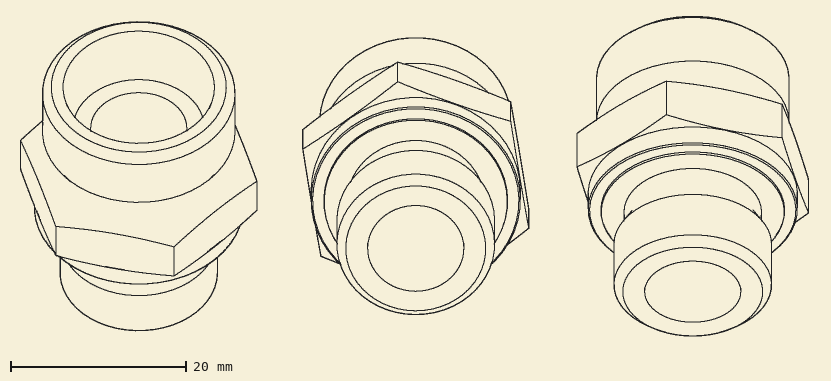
import cadquery as cq
import math

total_height = 32.5
collar_bottom = 12.02
hex_bottom = 14.53
hex_top = 20.5

hex_across_flats = 24.02
hex_corner_radius = hex_across_flats / math.sqrt(3)
hex_chamfer_angle = math.radians(15)
collar_radius = 23.9 / 2
collar_chamfer = 0.15

end_chamfer = 1.0
lower_end_radius = 18.0 / 2
lower_neck_radius = 15.7 / 2
lower_shoulder = 7.0
upper_end_radius = 22.0 / 2
upper_neck_radius = 19.7 / 2
upper_shoulder = 25.05
relief_angle = math.radians(30)
relief_blend_radius = 1.0
hex_root_radius = 1.0

through_radius = 11.0 / 2
socket_radius = 15.0 / 2
socket_depth = 7.0
cone_depth = 5.35
cone_half_angle = math.radians(12)
mouth_radius = socket_radius + cone_depth * math.tan(cone_half_angle)

ring_outer_radius = 20.9 / 2
recess_outer_radius = 21.0 / 2
recess_depth = 1.5
ring_protrusion = 0.25


def revolve_profile(profile):
    """Turn a closed outline in the XZ plane (radius, height) about the Z axis."""
    return profile.close().revolve(360, (0, 0, 0), (0, 1, 0))


def cylinder(radius, bottom, top):
    return cq.Workplane("XY").workplane(offset=bottom).circle(radius).extrude(top - bottom)


def threaded_end(end_radius, neck_radius, chamfer, shoulder, neck_end):
    """Chamfered stub starting at Z = 0, with a conical relief blended into its neck."""
    relief_corner = shoulder + (end_radius - neck_radius) / math.tan(relief_angle)
    tangent = relief_blend_radius * math.tan(relief_angle / 2)
    cone_tangent_radius = neck_radius + tangent * math.sin(relief_angle)
    cone_tangent_height = relief_corner - tangent * math.cos(relief_angle)
    profile = (
        cq.Workplane("XZ")
        .lineTo(end_radius - chamfer, 0)
        .lineTo(end_radius, chamfer)
        .lineTo(end_radius, shoulder)
        .lineTo(cone_tangent_radius, cone_tangent_height)
        .radiusArc((neck_radius, relief_corner + tangent), relief_blend_radius)
        .lineTo(neck_radius, neck_end)
        .lineTo(0, neck_end)
    )
    return revolve_profile(profile)


def make_lower_end():
    return threaded_end(lower_end_radius, lower_neck_radius, end_chamfer, lower_shoulder, hex_bottom)


def make_upper_end():
    """Upper stub, shaped from its free end and then turned to point upwards."""
    end = threaded_end(
        upper_end_radius,
        upper_neck_radius,
        end_chamfer,
        total_height - upper_shoulder,
        total_height - hex_top,
    )
    return end.rotate((0, 0, 0), (1, 0, 0), 180).translate((0, 0, total_height))


def make_hex_root():
    """Concave fillet where the upper neck meets the top of the hexagon."""
    profile = (
        cq.Workplane("XZ")
        .moveTo(0, hex_top)
        .lineTo(upper_neck_radius + hex_root_radius, hex_top)
        .radiusArc((upper_neck_radius, hex_top + hex_root_radius), hex_root_radius)
        .lineTo(0, hex_top + hex_root_radius)
    )
    return revolve_profile(profile)


def make_hexagon():
    """Hexagon with flats facing -X and +X, its corners chamfered at both faces."""
    prism = (
        cq.Workplane("XY")
        .workplane(offset=hex_bottom)
        .polygon(6, 2 * hex_corner_radius)
        .extrude(hex_top - hex_bottom)
        .rotate((0, 0, 0), (0, 0, 1), 30)
    )
    chamfer_drop = (hex_corner_radius - collar_radius) * math.tan(hex_chamfer_angle)
    envelope = revolve_profile(
        cq.Workplane("XZ")
        .moveTo(0, hex_bottom)
        .lineTo(collar_radius, hex_bottom)
        .lineTo(hex_corner_radius, hex_bottom + chamfer_drop)
        .lineTo(hex_corner_radius, hex_top - chamfer_drop)
        .lineTo(collar_radius, hex_top)
        .lineTo(0, hex_top)
    )
    return prism.intersect(envelope)


def make_collar():
    """Round collar under the hexagon, with the recess for the sealing ring."""
    collar = cylinder(collar_radius, collar_bottom, hex_bottom).faces("<Z").chamfer(collar_chamfer)
    recess = cylinder(recess_outer_radius, collar_bottom, collar_bottom + recess_depth)
    return collar.cut(recess)


def make_bore():
    socket_floor = total_height - socket_depth
    profile = (
        cq.Workplane("XZ")
        .lineTo(through_radius, 0)
        .lineTo(through_radius, socket_floor)
        .lineTo(socket_radius, socket_floor)
        .lineTo(socket_radius, total_height - cone_depth)
        .lineTo(mouth_radius, total_height)
        .lineTo(0, total_height)
    )
    return revolve_profile(profile)


def make_fitting():
    return (
        make_collar()
        .union(make_hexagon())
        .union(make_lower_end())
        .union(make_upper_end())
        .union(make_hex_root())
        .cut(make_bore())
    )


def make_sealing_ring():
    """Flat ring that fits around the lower neck and rests on the recess floor."""
    bottom = collar_bottom - ring_protrusion
    top = collar_bottom + recess_depth
    return cylinder(ring_outer_radius, bottom, top).cut(cylinder(lower_neck_radius, bottom, top))


fitting = make_fitting()
sealing_ring = make_sealing_ring()

result = cq.Compound.makeCompound([fitting.solids().val(), sealing_ring.solids().val()])